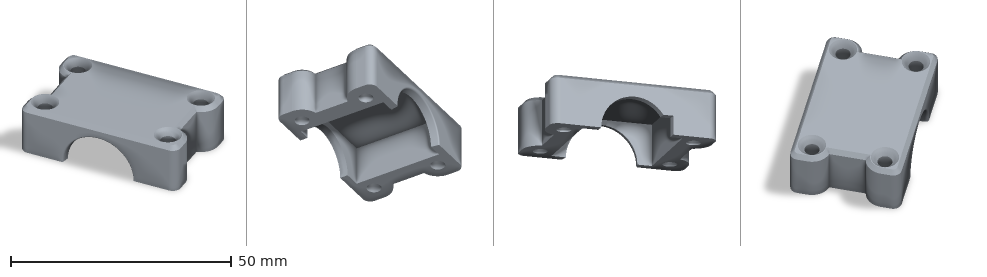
import cadquery as cq

length = 39.75
width = 25.9
height = 11.8
corner_radius = 2.0
top_chamfer = 1.0

lobe_radius = 4.37
screw_x = length / 2 - lobe_radius
screw_y = 8.5
waist_length = 33.0

screw_hole_diameter = 3.4
countersink_diameter = 6.4
countersink_angle = 90.0

end_wall = 2.0
mouth_radius = 8.9
throat_radius = 8.55
rear_radius = 8.1
mouth_rounding = 0.4

roof = 2.0
chamber_length = 24.0

notch_height = 4.5
notch_reach = 9.15

front_y = -width / 2
rear_y = width / 2


def block(size_x, size_y, size_z=height):
    """Box centred on the Z axis and standing on Z = 0."""
    return cq.Workplane("XY").box(size_x, size_y, size_z, centered=(True, True, False))


def at_screws(workplane):
    """Select the four screw positions on a workplane."""
    return workplane.rect(2 * screw_x, 2 * screw_y, forConstruction=True).vertices()


def body():
    """Rounded block, waisted between the lobes and chamfered along its top rim."""
    rounded = block(length, width).edges("|Z").fillet(corner_radius)
    end_bars = block(length, width).cut(block(length, 2 * screw_y))
    lobes = at_screws(cq.Workplane("XY")).circle(lobe_radius).extrude(height)
    waisted = block(waist_length, width).union(end_bars).union(lobes)
    return rounded.intersect(waisted).clean().faces(">Z").edges().chamfer(top_chamfer)


def openings():
    """Turned cutter for both openings; its axis lies in the bottom face."""
    profile = [
        (0, front_y),
        (mouth_radius, front_y),
        (throat_radius, front_y + end_wall),
        (rear_radius, rear_y - end_wall),
        (rear_radius, rear_y),
        (0, rear_y),
    ]
    return cq.Workplane("XY").polyline(profile).close().revolve(360, (0, 0, 0), (0, 1, 0))


def chamber():
    """Box cutter for the space between the end walls and under the roof."""
    return block(chamber_length, width - 2 * end_wall, height - roof)


def rear_notch():
    """Rectangular cutter that opens the rear wall on the -X side of its opening."""
    return (
        cq.Workplane("XY")
        .box(notch_reach, end_wall, notch_height, centered=False)
        .translate((-notch_reach, rear_y - end_wall, 0))
    )


def round_mouth(part):
    """Round the rim of the front opening."""
    rim = part.faces("<Y").edges("%CIRCLE")
    return rim.fillet(mouth_rounding)


def drill_screws(part):
    """Countersunk through holes at the lobes."""
    top = part.faces(">Z").workplane(origin=(0, 0, height))
    return at_screws(top).cskHole(screw_hole_diameter, countersink_diameter, countersink_angle)


hollow = body().cut(chamber()).cut(openings()).cut(rear_notch())
result = drill_screws(round_mouth(hollow))